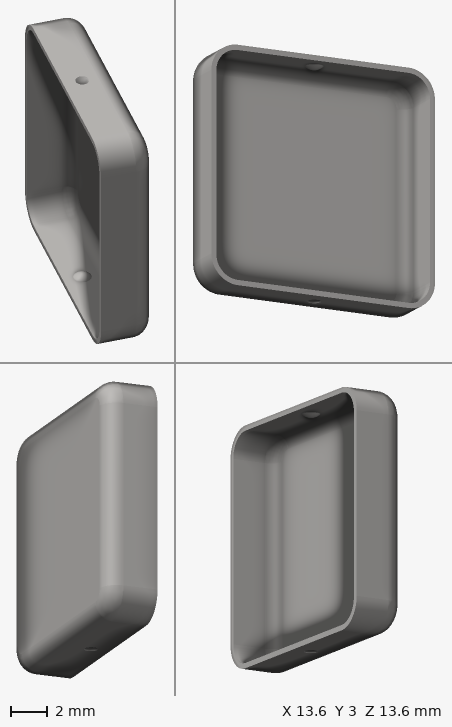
import cadquery as cq

side = 13.6
depth = 3.0
wall = 0.3
corner_radius = 1.6
back_edge_radius = 0.99

dimple_radius = 0.45
dimple_depth = 0.2
bump_radius = dimple_radius + wall
detent_from_rim = 1.1
detent_center_z = side / 2 + dimple_radius - dimple_depth


def rounded_block(width, front_y, back_y, upright_radius, back_radius):
    """Square block centred on the Y axis with rounded corners and back edge."""
    length = back_y - front_y
    return (
        cq.Workplane("XY")
        .box(width, length, width)
        .translate((0, front_y + length / 2, 0))
        .edges("|Y")
        .fillet(upright_radius)
        .faces(">Y")
        .edges()
        .fillet(back_radius)
    )


def make_tray():
    outer = rounded_block(side, 0, depth, corner_radius, back_edge_radius)
    cavity = rounded_block(
        side - 2 * wall,
        0,
        depth - wall,
        corner_radius - wall,
        back_edge_radius - wall,
    )
    return outer.cut(cavity)


def detent_sphere(radius, z):
    return cq.Workplane("XY").sphere(radius).translate((0, detent_from_rim, z))


def add_detents(tray):
    envelope = cq.Workplane("XY").box(side, 2 * depth, side)
    for z in (detent_center_z, -detent_center_z):
        bump = detent_sphere(bump_radius, z).intersect(envelope)
        tray = tray.union(bump).cut(detent_sphere(dimple_radius, z))
    return tray


result = add_detents(make_tray())